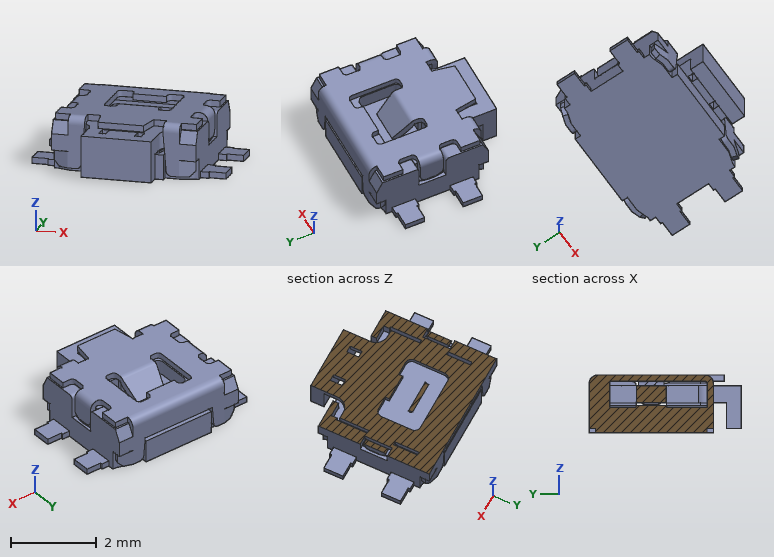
import cadquery as cq
import math


BASE_HALF_X = 1.75
BASE_HALF_Y = 1.45
BASE_TOP = 1.2
FLOOR_Z = 0.6
CORNER_BOTTOM = 0.5
CORNER_CHAMFER_Y = 0.15
CORNER_CHAMFER_Z = 0.3
CENTRE_BLOCK_HALF_X = 0.96
CAVITY_HALF_X = 1.4
CAVITY_FRONT_Y = -1.15
CAVITY_BACK_Y = 0.965
SIDE_SLOT_HALF_Y = 0.35
SIDE_SLOT_ROUND = 0.1

DOME_TOP = 0.64
DOME_SHOULDER_X = 1.635
DOME_SHOULDER_Y = 0.36
DOME_TIP_HALF_Y = 0.175
DOME_SIDE_ANGLE = math.radians(12)
DOME_TIP_RADIUS = 1.2
DOME_NECK_INNER_X = 1.05
DOME_NECK_OUTER_X = 0.82
DOME_NECK_Y = 1.3

LEAD_Y = 0.75
LEAD_THICKNESS = 0.15
LEAD_TIP_X = 2.35
LEAD_STEP_X = 1.95
LEAD_ROOT_WIDTH = 0.6
LEAD_TIP_WIDTH = 0.5

SHEET = 0.15
BEND_RADIUS = 0.2
COVER_TOP = BASE_TOP + SHEET
COVER_HALF_X = 1.71
COVER_HALF_Y = BASE_HALF_Y - BEND_RADIUS
RECESS_Y = BASE_HALF_Y - SHEET

FLANGE_OUTER_X = 1.35
FLANGE_INNER_X = 0.95
LEG_FOOT_X = 1.04
FLANGE_BOTTOM = 0.1
LEG_ROUND = 0.12
BACK_OPENING_TOP = 0.7
WING_ANGLE = math.radians(17.4)
WING_TIP_X = 1.72
WING_CUT = 0.15
WING_RECESS_X = 1.65

TAB_HALF_WIDTH = 0.3
TAB_BOTTOM = 0.65
TAB_ROUND = 0.2
NOTCH_INNER_X = 1.41
NOTCH_END_Y = 0.75
NOTCH_ROUND = 0.1

LIP_ROOT_Y = -1.15
LIP_END_Y = -1.7
LIP_ROOT_HALF_X = 0.645
LIP_END_HALF_X = 0.55

WINDOW_HALF_X = 0.805
WINDOW_BACK_Y = 0.95
WINDOW_FRONT_Y = -0.35
WINDOW_ROUND = 0.1
WINDOW_TOOTH_HALF_X = 0.405
WINDOW_TOOTH_Y = 0.75
TONGUE_HALF_X = 0.5
TONGUE_TIP_HALF_X = 0.405
TONGUE_BEND_Y = -0.15
TONGUE_TIP_Y = 0.4
TONGUE_ANGLE = math.radians(45)

ACTUATOR_BOTTOM = 0.7
ACTUATOR_TOP = 1.1
ACTUATOR_FRONT_Y = -2.1
LEG_BACK_Y = -1.75
LEG_BOTTOM = 0.1
STEM_HALF_X = 0.85
STEM_FILLET = 0.3
HEAD_FRONT_Y = -1.1
HEAD_HALF_X = 1.33
EAR_HALF_X = 1.505
POCKET_HALF_X = 0.85
POCKET_BACK_Y = 0.69
POCKET_FRONT_Y = -0.4
POCKET_FLOOR = 0.72
POCKET_ROUND = 0.15
RIDGE_HALF_X = 0.35
RIDGE_TOP = 1.16
RIDGE_BACK_Y = -0.3
SLOT_OUTER_X = 0.51


def box(x0, x1, y0, y1, z0, z1):
    """Axis-aligned box between opposite corners."""
    return cq.Workplane("XY").box(x1 - x0, y1 - y0, z1 - z0, centered=False).translate((x0, y0, z0))


def plate(points, z0, z1):
    """Closed XY outline extruded between two heights."""
    return cq.Workplane("XY").workplane(offset=z0).polyline(points).close().extrude(z1 - z0)


def mirrored_outline(right_half):
    """Complete an XY outline whose right half is listed."""
    return right_half + [(-x, y) for x, y in reversed(right_half)]


def both_sides(part):
    """The part together with its mirror image across X = 0."""
    return part.union(part.mirror("YZ"))


def front_and_back(part):
    """The part together with its mirror image across Y = 0."""
    return part.union(part.mirror("XZ"))


def make_base():
    chamfer_z = BASE_TOP - CORNER_CHAMFER_Z
    chamfer_y = BASE_HALF_Y - CORNER_CHAMFER_Y
    profile = [
        (BASE_HALF_Y, 0),
        (BASE_HALF_Y, chamfer_z),
        (chamfer_y, BASE_TOP),
        (-chamfer_y, BASE_TOP),
        (-BASE_HALF_Y, chamfer_z),
        (-BASE_HALF_Y, 0),
    ]
    base = cq.Workplane("YZ").polyline(profile).close().extrude(BASE_HALF_X, both=True)

    leg_recess = box(CENTRE_BLOCK_HALF_X, FLANGE_OUTER_X, -BASE_HALF_Y, -RECESS_Y, 0, BASE_TOP)
    slant_end_y = RECESS_Y - (WING_RECESS_X - FLANGE_OUTER_X) * math.tan(WING_ANGLE)
    wing_recess = plate(
        [
            (FLANGE_OUTER_X, -BASE_HALF_Y),
            (FLANGE_OUTER_X, -RECESS_Y),
            (WING_RECESS_X, -slant_end_y),
            (BASE_HALF_X, -slant_end_y),
            (BASE_HALF_X, -BASE_HALF_Y),
        ],
        0,
        CORNER_BOTTOM,
    )
    base = base.cut(front_and_back(both_sides(leg_recess.union(wing_recess))))

    base = base.cut(box(-CAVITY_HALF_X, CAVITY_HALF_X, CAVITY_FRONT_Y, CAVITY_BACK_Y, FLOOR_Z, BASE_TOP))
    base = base.cut(
        box(-FLANGE_OUTER_X, FLANGE_OUTER_X, -BASE_HALF_Y, CAVITY_FRONT_Y, FLOOR_Z, BASE_TOP)
    )
    base = base.cut(box(-LEG_FOOT_X, LEG_FOOT_X, CAVITY_BACK_Y, BASE_HALF_Y, FLOOR_Z, BACK_OPENING_TOP))
    back_recess = box(
        -CENTRE_BLOCK_HALF_X, CENTRE_BLOCK_HALF_X, RECESS_Y, BASE_HALF_Y, BACK_OPENING_TOP, BASE_TOP
    )
    return base.cut(back_recess).cut(make_side_slots())


def make_side_slots():
    mouth = SIDE_SLOT_HALF_Y + SIDE_SLOT_ROUND
    shoulder_z = BASE_TOP - SIDE_SLOT_ROUND
    return (
        cq.Workplane("YZ")
        .moveTo(-SIDE_SLOT_HALF_Y, FLOOR_Z)
        .lineTo(-SIDE_SLOT_HALF_Y, shoulder_z)
        .radiusArc((-mouth, BASE_TOP), -SIDE_SLOT_ROUND)
        .lineTo(mouth, BASE_TOP)
        .radiusArc((SIDE_SLOT_HALF_Y, shoulder_z), -SIDE_SLOT_ROUND)
        .lineTo(SIDE_SLOT_HALF_Y, FLOOR_Z)
        .close()
        .extrude(BASE_HALF_X, both=True)
    )


def make_dome():
    tip_base_x = DOME_SHOULDER_X + (DOME_SHOULDER_Y - DOME_TIP_HALF_Y) * math.tan(DOME_SIDE_ANGLE)
    half_pad = (
        cq.Workplane("XY")
        .workplane(offset=FLOOR_Z)
        .moveTo(0, -DOME_NECK_Y)
        .lineTo(DOME_NECK_OUTER_X, -DOME_NECK_Y)
        .lineTo(DOME_NECK_INNER_X, -DOME_SHOULDER_Y)
        .lineTo(DOME_SHOULDER_X, -DOME_SHOULDER_Y)
        .lineTo(tip_base_x, -DOME_TIP_HALF_Y)
        .radiusArc((tip_base_x, DOME_TIP_HALF_Y), -DOME_TIP_RADIUS)
        .lineTo(DOME_SHOULDER_X, DOME_SHOULDER_Y)
        .lineTo(DOME_NECK_INNER_X, DOME_SHOULDER_Y)
        .lineTo(DOME_NECK_OUTER_X, DOME_NECK_Y)
        .lineTo(0, DOME_NECK_Y)
        .close()
        .extrude(DOME_TOP - FLOOR_Z)
    )
    return both_sides(half_pad)


def make_lead(y):
    half_root = LEAD_ROOT_WIDTH / 2
    half_tip = LEAD_TIP_WIDTH / 2
    root = box(-LEAD_STEP_X, LEAD_STEP_X, y - half_root, y + half_root, 0, LEAD_THICKNESS)
    return root.union(box(-LEAD_TIP_X, LEAD_TIP_X, y - half_tip, y + half_tip, 0, LEAD_THICKNESS))


def bent_strip(plane, outside, bottom, length):
    """Sheet bent down from the cover; `outside` is how far out its vertical face lies."""
    bend_start = outside - BEND_RADIUS
    inner_radius = BEND_RADIUS - SHEET
    inside = outside - SHEET
    return (
        cq.Workplane(plane)
        .moveTo(bend_start, BASE_TOP)
        .lineTo(bend_start, COVER_TOP)
        .radiusArc((outside, COVER_TOP - BEND_RADIUS), BEND_RADIUS)
        .lineTo(outside, bottom)
        .lineTo(inside, bottom)
        .lineTo(inside, BASE_TOP - inner_radius)
        .radiusArc((bend_start, BASE_TOP), -inner_radius)
        .close()
        .extrude(length, both=True)
    )


def make_leg_outline():
    return (
        cq.Workplane("XZ")
        .polyline(
            [
                (FLANGE_INNER_X, COVER_TOP),
                (FLANGE_INNER_X, COVER_TOP - BEND_RADIUS),
                (LEG_FOOT_X, FLANGE_BOTTOM),
                (FLANGE_OUTER_X, FLANGE_BOTTOM),
                (FLANGE_OUTER_X, COVER_TOP),
            ]
        )
        .close()
        .extrude(BASE_HALF_Y, both=True)
        .edges(cq.selectors.NearestToPointSelector((LEG_FOOT_X, 0, FLANGE_BOTTOM)))
        .fillet(LEG_ROUND)
    )


def make_wing():
    wing_length = (WING_TIP_X - FLANGE_OUTER_X) / math.cos(WING_ANGLE)
    flat_wing = (
        cq.Workplane("XZ")
        .polyline(
            [
                (0, FLANGE_BOTTOM),
                (wing_length - WING_CUT, FLANGE_BOTTOM),
                (wing_length, FLANGE_BOTTOM + WING_CUT),
                (wing_length, CORNER_BOTTOM),
                (0, CORNER_BOTTOM),
            ]
        )
        .close()
        .extrude(SHEET)
    )
    folded = flat_wing.rotate((0, 0, 0), (0, 0, 1), -math.degrees(WING_ANGLE))
    return folded.translate((FLANGE_OUTER_X, BASE_HALF_Y, 0))


def make_flanges():
    back_sheet = bent_strip("YZ", BASE_HALF_Y, FLANGE_BOTTOM, FLANGE_OUTER_X)
    legs = both_sides(make_leg_outline())
    upper_band = box(
        -FLANGE_OUTER_X, FLANGE_OUTER_X, COVER_HALF_Y, BASE_HALF_Y, BACK_OPENING_TOP, COVER_TOP
    )
    front_flange = back_sheet.mirror("XZ").intersect(legs)
    back_flange = back_sheet.intersect(legs.union(upper_band))
    return front_flange.union(back_flange).union(front_and_back(both_sides(make_wing())))


def make_side_tabs():
    tab = bent_strip("XZ", COVER_HALF_X, TAB_BOTTOM, TAB_HALF_WIDTH)
    tab = tab.faces("<Z").edges("|X").fillet(TAB_ROUND)
    return both_sides(tab)


def make_window():
    window = plate(
        mirrored_outline(
            [
                (TONGUE_HALF_X, TONGUE_BEND_Y),
                (TONGUE_HALF_X, WINDOW_FRONT_Y),
                (WINDOW_HALF_X, WINDOW_FRONT_Y),
                (WINDOW_HALF_X, WINDOW_BACK_Y),
                (WINDOW_TOOTH_HALF_X, WINDOW_BACK_Y),
                (WINDOW_TOOTH_HALF_X, WINDOW_TOOTH_Y),
            ]
        ),
        BASE_TOP,
        COVER_TOP,
    )
    return window.edges("|Z and (>Y or <Y)").fillet(WINDOW_ROUND)


def make_tongue():
    sine = math.sin(TONGUE_ANGLE)
    cosine = math.cos(TONGUE_ANGLE)
    bend_end = (TONGUE_BEND_Y + SHEET * sine, BASE_TOP + SHEET * cosine)
    tip_z = bend_end[1] - (TONGUE_TIP_Y - bend_end[0]) * math.tan(TONGUE_ANGLE)
    profile = (
        cq.Workplane("YZ")
        .moveTo(TONGUE_BEND_Y, BASE_TOP)
        .lineTo(TONGUE_BEND_Y, COVER_TOP)
        .radiusArc(bend_end, SHEET)
        .lineTo(TONGUE_TIP_Y, tip_z)
        .lineTo(TONGUE_TIP_Y - SHEET * sine, tip_z - SHEET * cosine)
        .close()
        .extrude(TONGUE_HALF_X, both=True)
    )
    taper = plate(
        mirrored_outline(
            [
                (TONGUE_HALF_X, TONGUE_BEND_Y),
                (TONGUE_HALF_X, bend_end[0]),
                (TONGUE_TIP_HALF_X, TONGUE_TIP_Y),
            ]
        ),
        0,
        COVER_TOP,
    )
    return profile.intersect(taper)


def make_cover():
    outline = mirrored_outline(
        [
            (LIP_END_HALF_X, LIP_END_Y),
            (LIP_ROOT_HALF_X, LIP_ROOT_Y),
            (FLANGE_INNER_X, LIP_ROOT_Y),
            (FLANGE_INNER_X, -COVER_HALF_Y),
            (COVER_HALF_X, -COVER_HALF_Y),
            (COVER_HALF_X, COVER_HALF_Y),
        ]
    )
    cover = plate(outline, BASE_TOP, COVER_TOP)

    notch = box(NOTCH_INNER_X, COVER_HALF_X, TAB_HALF_WIDTH, NOTCH_END_Y, BASE_TOP, COVER_TOP)
    notch = notch.edges("|Z and <X").fillet(NOTCH_ROUND)
    tab_bend = box(
        COVER_HALF_X - BEND_RADIUS, COVER_HALF_X, -TAB_HALF_WIDTH, TAB_HALF_WIDTH, BASE_TOP, COVER_TOP
    )
    cover = cover.cut(both_sides(front_and_back(notch).union(tab_bend)))
    cover = cover.cut(make_window())
    return cover.union(make_tongue()).union(make_flanges()).union(make_side_tabs())


def make_actuator():
    outline = mirrored_outline(
        [
            (STEM_HALF_X, ACTUATOR_FRONT_Y),
            (STEM_HALF_X, HEAD_FRONT_Y),
            (HEAD_HALF_X, HEAD_FRONT_Y),
            (HEAD_HALF_X, CAVITY_BACK_Y),
        ]
    )
    slide = plate(outline, ACTUATOR_BOTTOM, ACTUATOR_TOP)
    for side in (-1, 1):
        inner_corner = cq.selectors.NearestToPointSelector(
            (side * STEM_HALF_X, HEAD_FRONT_Y, (ACTUATOR_BOTTOM + ACTUATOR_TOP) / 2)
        )
        slide = slide.edges(inner_corner).fillet(STEM_FILLET)

    ears = box(
        -EAR_HALF_X, EAR_HALF_X, -SIDE_SLOT_HALF_Y, SIDE_SLOT_HALF_Y, ACTUATOR_BOTTOM, ACTUATOR_TOP
    )

    push_face = box(-STEM_HALF_X, STEM_HALF_X, ACTUATOR_FRONT_Y, LEG_BACK_Y, LEG_BOTTOM, ACTUATOR_TOP)

    ridge = box(-RIDGE_HALF_X, RIDGE_HALF_X, -BASE_HALF_Y, RIDGE_BACK_Y, ACTUATOR_BOTTOM, RIDGE_TOP)

    pocket = box(
        -POCKET_HALF_X, POCKET_HALF_X, POCKET_FRONT_Y, POCKET_BACK_Y, POCKET_FLOOR, ACTUATOR_TOP
    )
    pocket = pocket.edges("|Z").fillet(POCKET_ROUND)
    slot = box(RIDGE_HALF_X, SLOT_OUTER_X, LEG_BACK_Y, -BASE_HALF_Y, ACTUATOR_BOTTOM, ACTUATOR_TOP)
    return slide.union(ears).union(push_face).cut(pocket).cut(both_sides(slot)).union(ridge)


result = make_base().union(make_dome()).union(make_cover()).union(make_actuator())
for lead_y in (-LEAD_Y, LEAD_Y):
    result = result.union(make_lead(lead_y))